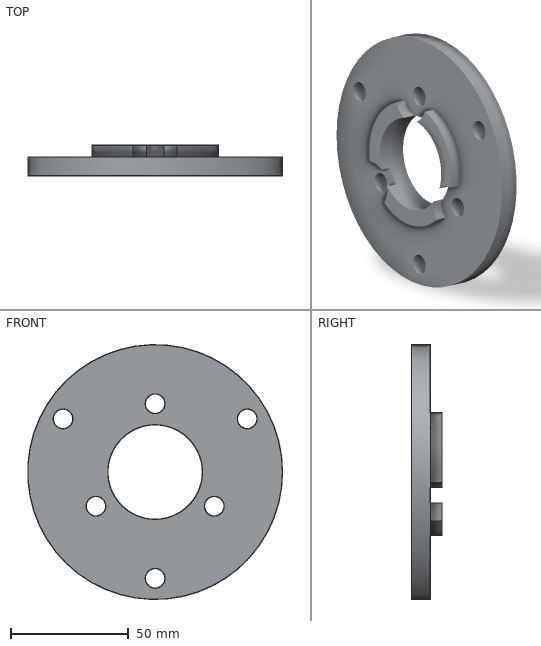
import cadquery as cq

plate_diameter = 108.0
plate_thickness = 8.0
boss_diameter = 53.7
boss_height = 5.0
bore_diameter = 40.0

hole_count = 3
hole_diameter = 8.2
inner_hole_circle_radius = 28.9
inner_hole_start_angle = 90
outer_hole_circle_radius = 45.0
outer_hole_start_angle = 30

scallop_radius = 10.0

total_thickness = plate_thickness + boss_height


def disc(diameter, start_y, length):
    """Cylinder about the Y axis, from start_y toward +Y."""
    return cq.Workplane("XZ", origin=(0, start_y, 0)).circle(diameter / 2).extrude(-length)


def circular_pattern(circle_radius, start_angle, diameter, start_y, length):
    """Equally spaced cylinders parallel to Y, used as cutters."""
    return (
        cq.Workplane("XZ", origin=(0, start_y, 0))
        .polarArray(circle_radius, start_angle, 360, hole_count)
        .circle(diameter / 2)
        .extrude(-length)
    )


plate = disc(plate_diameter, 0, plate_thickness)

boss = disc(boss_diameter, plate_thickness, boss_height)
scallops = circular_pattern(
    inner_hole_circle_radius, inner_hole_start_angle, 2 * scallop_radius, plate_thickness, boss_height
)
boss = boss.cut(scallops)

bore = disc(bore_diameter, 0, total_thickness)
inner_holes = circular_pattern(
    inner_hole_circle_radius, inner_hole_start_angle, hole_diameter, 0, plate_thickness
)
outer_holes = circular_pattern(
    outer_hole_circle_radius, outer_hole_start_angle, hole_diameter, 0, plate_thickness
)

result = plate.union(boss).cut(bore).cut(inner_holes).cut(outer_holes)